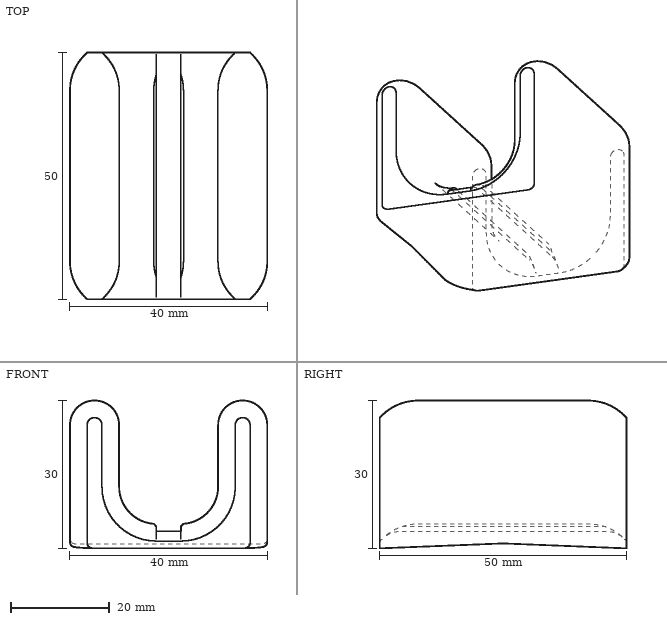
import cadquery as cq
import math

WIDTH = 40.0
LENGTH = 50.0
HEIGHT = 30.0

WALL = 10.0
WALL_TOP_RADIUS = WALL / 2
CORNER_RADIUS = 7.5
FLOOR_HEIGHT = 5.0

END_RADIUS = 10.0
END_ARC_INSET = 3.0
END_CHAMFER = 0.5

GROOVE_WIDTH = 5.0
GROOVE_DEPTH = 1.5
GROOVE_END_RADIUS = 5.0
GROOVE_BEVEL = 0.5

VEE_DEPTH = 1.0
BOTTOM_EDGE_RADIUS = 1.0

HALF_LENGTH = LENGTH / 2
CHANNEL_HALF_WIDTH = WIDTH / 2 - WALL
WALL_CENTRE_X = WIDTH / 2 - WALL / 2
WALL_ROUND_Z = HEIGHT - WALL_TOP_RADIUS
CORNER_X = CHANNEL_HALF_WIDTH - CORNER_RADIUS
CORNER_Z = FLOOR_HEIGHT + CORNER_RADIUS
ARC_END_Y = HALF_LENGTH - END_CHAMFER
CHANNEL_CUT_TOP = HEIGHT + 1.0


def end_arc_start(radius, drop):
    """Distance from mid-length at which an end arc of this radius leaves its straight face."""
    return ARC_END_Y - math.sqrt(radius**2 - (radius - drop) ** 2)


def lengthwise_outline(plane, base, level, side, radius=END_RADIUS, drop=END_ARC_INSET):
    """Closed outline from the line `base` to the end-rounded face at `level`.

    The plane's local x is across the part and its local y runs along the length.
    `side` is the direction in which the face moves at the ends (+1 or -1).
    """
    start_y = end_arc_start(radius, drop)
    middle_y = (start_y + ARC_END_Y) / 2
    middle = level + side * (radius - math.sqrt(radius**2 - (middle_y - start_y) ** 2))
    arc_end = level + side * drop
    tip = arc_end + side * END_CHAMFER
    return (
        cq.Workplane(plane)
        .moveTo(base, -HALF_LENGTH)
        .lineTo(tip, -HALF_LENGTH)
        .lineTo(arc_end, -ARC_END_Y)
        .threePointArc((middle, -middle_y), (level, -start_y))
        .lineTo(level, start_y)
        .threePointArc((middle, middle_y), (arc_end, ARC_END_Y))
        .lineTo(tip, HALF_LENGTH)
        .lineTo(base, HALF_LENGTH)
        .close()
    )


def plan_plane(z):
    """Horizontal plane at height z: local x is X, local y is Y."""
    return cq.Plane(origin=(0, 0, z), xDir=(1, 0, 0), normal=(0, 0, 1))


def side_plane(x):
    """Upright lengthwise plane at x: local x is Z, local y is Y."""
    return cq.Plane(origin=(x, 0, 0), xDir=(0, 0, 1), normal=(-1, 0, 0))


def round_bar(x, z, radius, side):
    """Bar along Y, centred on (x, z), that narrows or flares at its ends."""
    plane = cq.Plane(origin=(x, 0, z), xDir=(1, 0, 0), normal=(0, 0, 1))
    return lengthwise_outline(plane, 0, radius, side).revolve(360, (0, 0, 0), (0, 1, 0))


def mirrored_pair(body):
    """The body joined with its mirror image across the mid-width plane."""
    return body.union(body.mirror("YZ"))


def outer_block():
    """Block up to the wall rounds, its outer sides curving in at the ends."""
    half = lengthwise_outline(plan_plane(0), 0, WIDTH / 2, -1).extrude(WALL_ROUND_Z)
    return mirrored_pair(half)


def cut_vee(body):
    """Hollow the underside into a shallow vee, highest at mid-length."""
    vee = (
        cq.Workplane("YZ")
        .polyline([(-HALF_LENGTH, 0), (0, VEE_DEPTH), (HALF_LENGTH, 0)])
        .close()
        .extrude(WIDTH / 2, both=True)
    )
    return body.cut(vee)


def round_bottom_edges(body):
    """Round the underside along the outer sides, leaving the end edges sharp."""
    return body.faces("<Z").edges("not(|X)").fillet(BOTTOM_EDGE_RADIUS)


def channel_space():
    """Space between the walls, flaring outwards at both ends."""
    plan = lengthwise_outline(plan_plane(CORNER_Z), 0, CHANNEL_HALF_WIDTH, 1)
    upper = plan.extrude(CHANNEL_CUT_TOP - CORNER_Z)
    corner = round_bar(CORNER_X, CORNER_Z, CORNER_RADIUS, 1)
    middle = lengthwise_outline(side_plane(CORNER_X), CORNER_Z, FLOOR_HEIGHT, -1).extrude(CORNER_X)
    return mirrored_pair(upper.union(corner).union(middle))


def groove_space():
    """Floor groove whose bottom curves down to meet the channel floor at the end chamfers."""
    bottom = FLOOR_HEIGHT - GROOVE_DEPTH
    drop = END_ARC_INSET - GROOVE_DEPTH
    plane = side_plane(GROOVE_WIDTH / 2)
    return lengthwise_outline(plane, CORNER_Z, bottom, -1, GROOVE_END_RADIUS, drop).extrude(GROOVE_WIDTH)


def groove_bevels():
    """Space over the 45 degree bevels along both upper edges of the groove.

    It rises past the channel floor but stays clear of the corner rounds farther out.
    """
    inner = GROOVE_WIDTH / 2
    rise = 2 * GROOVE_BEVEL
    bevel = (
        cq.Workplane("XZ")
        .moveTo(inner, FLOOR_HEIGHT - GROOVE_BEVEL)
        .line(rise, rise)
        .hLineTo(inner)
        .close()
        .extrude(HALF_LENGTH, both=True)
    )
    return mirrored_pair(bevel)


body = round_bottom_edges(cut_vee(outer_block()))
body = body.union(mirrored_pair(round_bar(WALL_CENTRE_X, WALL_ROUND_Z, WALL_TOP_RADIUS, -1)))
body = body.cut(channel_space())
body = body.cut(groove_space())
result = body.cut(groove_bevels())